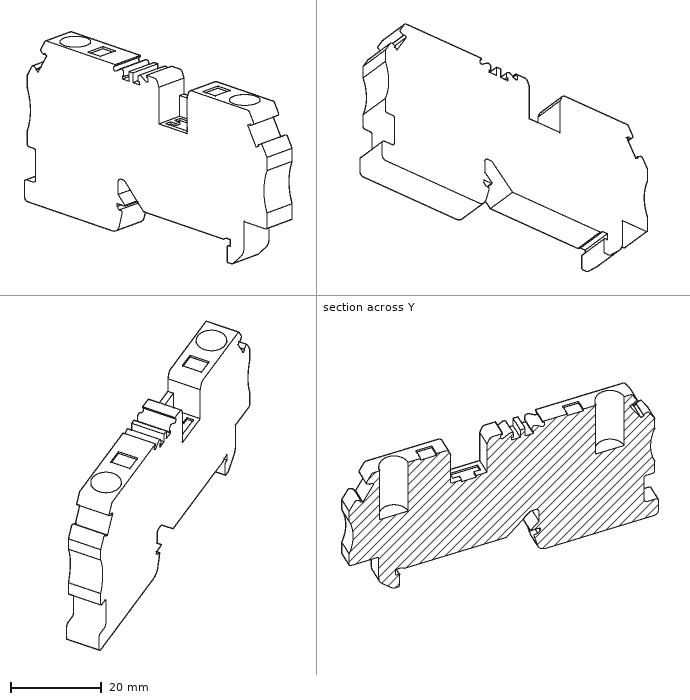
import cadquery as cq
import math

length = 74.5
thickness = 8.0
height = 39.5

wing_left = 0.9
wing_right = length
housing_mid = (wing_left + wing_right) / 2
wing_bottom_left = 13.1
wing_bottom_right = 12.9
wing_corner_radius = 0.5
neck_top_radius = 0.4

shoulder_angle = math.radians(60)
shoulder_bottom = 29.9
shoulder_top_radius = 0.5
notch_start = 3.3
notch_end = 7.9
notch_depth = 2.1
notch_lip_radius = 0.5
notch_undercut = 0.3
notch_undercut_width = 0.75

skin_thickness = 0.25

grip_center_z = 21.8
grip_height = 10.0
grip_depth = 0.95

foot_top = 5.1
foot_bottom_radius = 1.1
foot_top_radius = 0.7
neck_left = 3.4
foot_right = 28.7
foot_heel_radius = 2.2
heel_tip_x = 30.15
heel_tip_z = 5.5
heel_tip_radius = 0.4

seat_z = 7.05
seat_start_x = 36.6
relief_left = 28.8
relief_top = 12.9
relief_corner_radius = 0.9
ramp_top_radius = 0.7
barb_root_z = 9.1
barb_tip_x = 30.85
barb_tip_z = 7.05
barb_underside_z = 6.85
barb_slot_x = 28.5
barb_slot_bottom = 6.2
barb_slot_ramp_x = 29.1

hook_right = 67.4
hook_inner_x = 63.2
hook_tip_x = 62.25
hook_tip_z = 1.9
hook_nose_width = 1.6
hook_nose_radius = 0.4
hook_nose_outer_radius = 0.8
hook_catch_z = 5.9
hook_slope_top = 5.3
hook_outer_radius = 3.0
seat_relief_z = 7.5
seat_relief_x = 61.9
seat_relief_ramp = 0.75

groove_mid = 32.7
groove_floor = 36.7
groove_lip_half = 4.8
groove_lip_drop = 0.35
groove_undercut_half = 5.25
groove_undercut_top = 38.95
groove_undercut_radius = 0.3
groove_valley_z = 37.6
groove_valley_radius = 0.4
ridge_outer_half = 3.1
ridge_inner_half = 2.2
ridge_top = 39.0
ridge_outer_radius = 0.4
ridge_inner_radius = 0.65
keyway_half = 2.6
keyway_top = 37.35
tooth_width = 1.2
tooth_top = 38.95

window_left = 41.3
window_right = 49.95
window_floor = 29.05
window_chamfer_width = 0.7
window_chamfer_drop = 1.8
window_corner_radius = 1.0
back_wall_thickness = 1.4
back_wall_top = 33.95

h_center_y = 3.45
h_length = 6.65
h_width = 4.55
h_web_length = 3.5
h_waist = 1.35
h_depth = 0.5

wire_hole_diameter = 6.75
wire_hole_offset = 26.0
wire_hole_y = 4.1
wire_hole_depth = 15.0
pocket_offset = 17.65
pocket_length = 3.8
pocket_width = 4.75
pocket_y = 3.8
pocket_depth = 0.5


def round_corner(before, corner, after):
    """Return start, middle and end of the arc rounding a corner (x, z, radius)."""
    x, z, radius = corner
    to_before = math.atan2(before[1] - z, before[0] - x)
    to_after = math.atan2(after[1] - z, after[0] - x)
    half_angle = math.acos(math.cos(to_after - to_before)) / 2
    bisector = math.atan2(
        math.sin(to_before) + math.sin(to_after),
        math.cos(to_before) + math.cos(to_after),
    )
    setback = radius / math.tan(half_angle)
    middle_distance = radius / math.sin(half_angle) - radius

    def along(angle, distance):
        return (x + distance * math.cos(angle), z + distance * math.sin(angle))

    return along(to_before, setback), along(bisector, middle_distance), along(to_after, setback)


def extrude_outline(corners, depth=thickness):
    """Extrude a closed XZ outline of (x, z, radius) corners from the front face toward +Y."""
    sketch = cq.Workplane("XZ")
    started = False
    for index, corner in enumerate(corners):
        before = corners[index - 1]
        after = corners[(index + 1) % len(corners)]
        if corner[2] > 0:
            start, middle, end = round_corner(before, corner, after)
        else:
            start = corner[:2]
        sketch = sketch.lineTo(*start) if started else sketch.moveTo(*start)
        started = True
        if corner[2] > 0:
            sketch = sketch.threePointArc(middle, end)
    return sketch.close().extrude(-depth)


def mirror_corners(corners, mid):
    """Mirror corners about x = mid, keeping the direction of travel along the outline."""
    return [(2 * mid - x, z, radius) for x, z, radius in reversed(corners)]


def on_slope(distance, inward, radius):
    """Corner at a distance up the left shoulder slope and a depth square to it."""
    cos_slope = math.cos(shoulder_angle)
    sin_slope = math.sin(shoulder_angle)
    x = wing_left + distance * cos_slope + inward * sin_slope
    z = shoulder_bottom + distance * sin_slope - inward * cos_slope
    return (x, z, radius)


def left_shoulder():
    """Corners from the wing side, up the notched slope, to the top face."""
    top_x = wing_left + (height - shoulder_bottom) / math.tan(shoulder_angle)
    return [
        (wing_left, shoulder_bottom, 0),
        on_slope(notch_start, 0, notch_lip_radius),
        on_slope(notch_start, notch_depth, 0),
        on_slope(notch_end, notch_depth, 0),
        on_slope(notch_end, 0, notch_lip_radius),
        (top_x, height, shoulder_top_radius),
    ]


def body():
    foot_and_wing = [
        (0, 0, foot_bottom_radius),
        (0, foot_top, foot_top_radius),
        (neck_left, foot_top, foot_top_radius),
        (neck_left, wing_bottom_left, neck_top_radius),
        (wing_left, wing_bottom_left, wing_corner_radius),
    ]
    window = [
        (window_left - window_chamfer_width, height, window_corner_radius),
        (window_left, height - window_chamfer_drop, 0),
        (window_left, window_floor, 0),
        (window_right, window_floor, 0),
        (window_right, height - window_chamfer_drop, 0),
        (window_right + window_chamfer_width, height, window_corner_radius),
    ]
    right_wing = [
        (wing_right, wing_bottom_right, wing_corner_radius),
        (hook_right, wing_bottom_right, 0),
    ]
    hook = [
        (hook_right, hook_slope_top, hook_outer_radius),
        (hook_tip_x + hook_nose_width, hook_tip_z, hook_nose_outer_radius),
        (hook_tip_x, hook_tip_z, hook_nose_radius),
        (hook_tip_x, hook_catch_z, hook_nose_radius),
        (hook_inner_x, hook_catch_z, 0),
        (hook_inner_x, seat_relief_z, 0),
        (seat_relief_x, seat_relief_z, 0),
        (seat_relief_x - seat_relief_ramp, seat_z, 0),
    ]
    ramp_top_x = seat_start_x - (relief_top - seat_z)
    barb = [
        (seat_start_x, seat_z, 0),
        (ramp_top_x, relief_top, ramp_top_radius),
        (relief_left, relief_top, relief_corner_radius),
        (relief_left, barb_root_z, 0),
        (barb_tip_x, barb_tip_z, 0),
        (barb_tip_x, barb_underside_z, 0),
        (barb_slot_x, barb_underside_z, 0),
        (barb_slot_x, barb_slot_bottom, 0),
        (barb_slot_ramp_x, heel_tip_z, 0),
        (heel_tip_x, heel_tip_z, heel_tip_radius),
        (foot_right, 0, foot_heel_radius),
    ]
    shoulder = left_shoulder()
    right_shoulder = mirror_corners(shoulder, housing_mid)
    return extrude_outline(
        foot_and_wing + shoulder + window + right_shoulder + right_wing + hook + barb
    )


def back_wall():
    return cq.Workplane("XY").box(
        window_right - window_left,
        back_wall_thickness,
        back_wall_top - window_floor,
        centered=False,
    ).translate((window_left, thickness - back_wall_thickness, window_floor))


def grip_hollows():
    radius = ((grip_height / 2) ** 2 + grip_depth**2) / (2 * grip_depth)
    centers = [
        (wing_left + grip_depth - radius, grip_center_z),
        (wing_right - grip_depth + radius, grip_center_z),
    ]
    return cq.Workplane("XZ").pushPoints(centers).circle(radius).extrude(-thickness)


def jumper_groove():
    left = [
        (groove_mid - tooth_width / 2, tooth_top, 0),
        (groove_mid - tooth_width / 2, groove_floor, 0),
        (groove_mid - ridge_inner_half, groove_floor, 0),
        (groove_mid - ridge_inner_half, ridge_top, ridge_inner_radius),
        (groove_mid - ridge_outer_half, ridge_top, ridge_outer_radius),
        (groove_mid - groove_undercut_half, groove_valley_z, groove_valley_radius),
        (groove_mid - groove_undercut_half, groove_undercut_top, groove_undercut_radius),
        (groove_mid - groove_lip_half, height - groove_lip_drop, 0),
        (groove_mid - groove_lip_half, height, 0),
    ]
    return extrude_outline(left + mirror_corners(left, groove_mid))


def blind_undercuts():
    """Widen the notch floors and the keyway foot, stopping at the back skin."""
    notch_floor = [
        on_slope(notch_start - notch_undercut, notch_depth - notch_undercut_width, 0),
        on_slope(notch_start - notch_undercut, notch_depth, 0),
        on_slope(notch_end + notch_undercut, notch_depth, 0),
        on_slope(notch_end + notch_undercut, notch_depth - notch_undercut_width, 0),
    ]
    keyway = [
        (groove_mid - keyway_half, groove_floor, 0),
        (groove_mid - keyway_half, keyway_top, 0),
        (groove_mid - ridge_inner_half, keyway_top, 0),
        (groove_mid - ridge_inner_half, groove_floor, 0),
    ]
    depth = thickness - skin_thickness
    cuts = cq.Workplane("XZ")
    for outline, mid in [(notch_floor, housing_mid), (keyway, groove_mid)]:
        cuts = cuts.add(extrude_outline(outline, depth))
        cuts = cuts.add(extrude_outline(mirror_corners(outline, mid), depth))
    return cuts.combine()


def h_recess():
    center_x = (window_left + window_right) / 2
    flange_width = (h_width - h_waist) / 2
    flange_offset = (h_waist + flange_width) / 2
    base = cq.Workplane("XY", origin=(center_x, h_center_y, window_floor))
    web = base.rect(h_web_length, h_width).extrude(-h_depth)
    flanges = (
        base.pushPoints([(0, -flange_offset), (0, flange_offset)])
        .rect(h_length, flange_width)
        .extrude(-h_depth)
    )
    return web.union(flanges)


def top_openings():
    top = cq.Workplane("XY", origin=(housing_mid, 0, height))
    holes = (
        top.pushPoints([(-wire_hole_offset, wire_hole_y), (wire_hole_offset, wire_hole_y)])
        .circle(wire_hole_diameter / 2)
        .extrude(-wire_hole_depth)
    )
    pockets = (
        top.pushPoints([(-pocket_offset, pocket_y), (pocket_offset, pocket_y)])
        .rect(pocket_length, pocket_width)
        .extrude(-pocket_depth)
    )
    return holes.union(pockets)


result = (
    body()
    .union(back_wall())
    .cut(grip_hollows())
    .cut(jumper_groove())
    .cut(blind_undercuts())
    .cut(h_recess())
    .cut(top_openings())
)